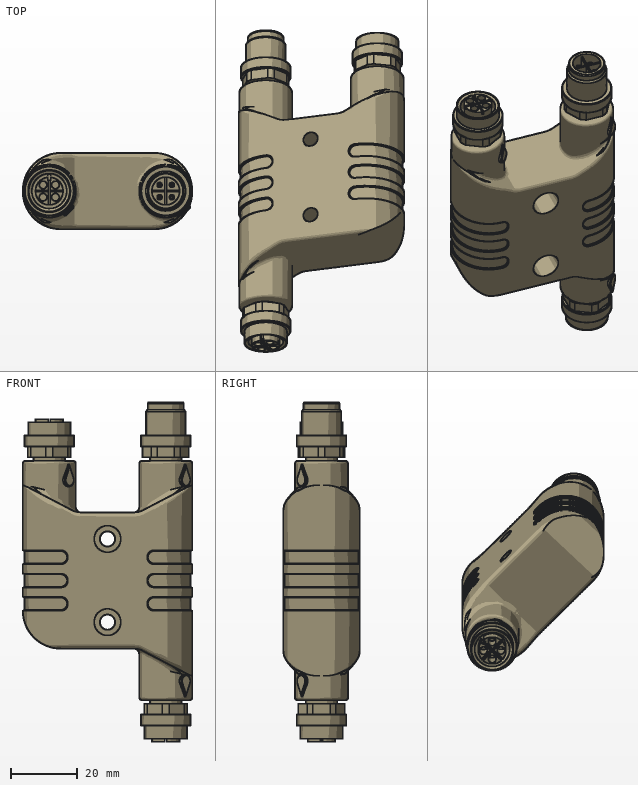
import cadquery as cq
import math

WIDTH = 51.0
THICKNESS = 23.0
HEIGHT = 41.0
END_R = THICKNESS / 2
FLAT_HALF = WIDTH / 2 - END_R
MID_Z = HEIGHT / 2

SHOULDER_ANGLE = 27.5
SHOULDER_START = 8.2
SHOULDER_BEND_R = 5.0
EDGE_R = 1.5
EDGE_R_TIP = 0.15

TUBE_D = 16.0
TUBE_X = WIDTH / 2 - TUBE_D / 2
TUBE_REACH = 15.5
TUBE_EDGE_R = 0.9
TUBE_BASE_R = 1.5
TUBE_BASE_INSET = 0.8
TUBE_BASE_CAP_ANGLE = 13.5

HOLE_D = 4.5
COUNTERBORE_D = 8.0
COUNTERBORE_DEPTH = THICKNESS / 2
HOLE_SPACING = 25.0

GROOVE_COUNT = 3
GROOVE_PITCH = 7.0
GROOVE_WIDTH = 4.2
GROOVE_DEPTH = 0.5
GROOVE_BEVEL = 0.25

DROP_R = 1.95
DROP_TIP = 4.7
DROP_TIP_INSET = 1.1
DROP_RAISE = 0.7
DROP_EDGE = 0.25
DROP_DEPTH = 2.0

NECK_D = 9.6
NUT_FLATS = 13.0
NUT_CORNER_D = 14.0
RING_D = 15.0
RING_EDGE = 0.2
SOCKET_NUT_TURN = 30
PLUG_NUT_TURN = 0
NUT_START = 1.0
NUT_END = 4.2
RING_END = 7.7

SOCKET_SLEEVE_D = 12.8
SOCKET_SLEEVE_END = 11.6
SOCKET_RIM_D = 12.3
SOCKET_RIM_DEPTH = 0.4
SOCKET_BORE_D = 10.5
SOCKET_FLOOR_R = 0.5
SOCKET_DEPTH = 3.8
INSERT_D = 8.3
INSERT_END = 12.5
CONTACT_HOLE_D = 2.3
CONTACT_HOLE_DEPTH = 6.0
KEY_WIDTH = 1.0
KEY_DEPTH = 0.9

PLUG_SLEEVE_D = 12.0
PLUG_SLEEVE_END = 14.8
PLUG_LIP_D = 10.95
PLUG_LIP_START = 15.4
PLUG_LIP_EDGE = 0.5
PLUG_RIM_D = 10.4
PLUG_END = 17.6
PLUG_BORE_D = 8.35
PLUG_BORE_DEPTH = 8.0
PIN_D = 1.5
PIN_LENGTH = 6.0
PIN_TIP = 0.4

CONTACT_PITCH = 3.7
CROSS_WIDTH = 0.5
CROSS_INSET = 1.0


SLOPE = math.radians(SHOULDER_ANGLE)
TOLERANCE = 0.01


def plan_prism(inset):
    """Tall prism of the rounded plan shape, shrunk by inset all round."""
    return (
        cq.Workplane("XY", origin=(0, 0, -HEIGHT))
        .slot2D(WIDTH - 2 * inset, THICKNESS - 2 * inset)
        .extrude(3 * HEIGHT)
    )


def cylinder(diameter, start, end):
    """Upright cylinder on the Z axis between two heights."""
    return cq.Workplane("XY", origin=(0, 0, start)).circle(diameter / 2).extrude(end - start)


def shoulder_rise(x):
    """Height of the straight shoulder slope above the flat edge, at distance x from the middle."""
    bend_x = SHOULDER_START + SHOULDER_BEND_R * math.sin(SLOPE)
    return SHOULDER_BEND_R * (1 - math.cos(SLOPE)) + (x - bend_x) * math.tan(SLOPE)


def outline_block(half_width, depth):
    """Front outline with sloped shoulders, square at the lower left, extruded along Y."""
    bend_x = SHOULDER_START + SHOULDER_BEND_R * math.sin(SLOPE)
    bend_rise = SHOULDER_BEND_R * (1 - math.cos(SLOPE))
    mid_x = SHOULDER_START + SHOULDER_BEND_R * math.sin(SLOPE / 2)
    mid_rise = SHOULDER_BEND_R * (1 - math.cos(SLOPE / 2))
    side_rise = shoulder_rise(half_width)
    return (
        cq.Workplane("XZ")
        .moveTo(-half_width, 0)
        .lineTo(SHOULDER_START, 0)
        .threePointArc((mid_x, -mid_rise), (bend_x, -bend_rise))
        .lineTo(half_width, -side_rise)
        .lineTo(half_width, HEIGHT + side_rise)
        .lineTo(bend_x, HEIGHT + bend_rise)
        .threePointArc((mid_x, HEIGHT + mid_rise), (SHOULDER_START, HEIGHT))
        .lineTo(-SHOULDER_START, HEIGHT)
        .threePointArc((-mid_x, HEIGHT + mid_rise), (-bend_x, HEIGHT + bend_rise))
        .lineTo(-half_width, HEIGHT + side_rise)
        .close()
        .extrude(depth / 2, both=True)
    )


def is_straight_rim(edge):
    """True for the straight top and bottom edges along the front and back faces."""
    middle = edge.Center()
    on_face = abs(abs(middle.y) - THICKNESS / 2) < TOLERANCE
    level = min(abs(middle.z), abs(middle.z - HEIGHT)) < TOLERANCE
    return on_face and level


def round_rims(body):
    """Round the top and bottom edges, fading the radius out towards each shoulder tip."""
    solid = body.solids().val()
    rounding = cq.occ_impl.shapes.BRepFilletAPI_MakeFillet(solid.wrapped)
    for edge in solid.Edges():
        if is_straight_rim(edge):
            rounding.Add(EDGE_R, edge.wrapped)

    for contour in range(1, rounding.NbContours() + 1):
        count = rounding.NbEdges(contour)
        for index in range(1, count + 1):
            edge = cq.Edge(rounding.Edge(contour, index))
            if edge.geomType() != "ELLIPSE":
                continue
            following = cq.Edge(rounding.Edge(contour, index % count + 1))
            tip = max(edge.startPoint(), edge.endPoint(), key=lambda point: abs(point.x))
            gaps = [(tip - point).Length for point in (following.startPoint(), following.endPoint())]
            if min(gaps) < TOLERANCE:
                rounding.SetRadius(EDGE_R, EDGE_R_TIP, contour, index)
            else:
                rounding.SetRadius(EDGE_R_TIP, EDGE_R, contour, index)
    return cq.Workplane(obj=cq.Shape.cast(rounding.Shape()))


def lower_corner_cutter():
    """Waste outside the large rounded lower left corner."""
    middle = END_R * (1 - math.sqrt(0.5))
    left = -WIDTH / 2
    return (
        cq.Workplane("XZ")
        .moveTo(-FLAT_HALF, 0)
        .threePointArc((left + middle, middle), (left, END_R))
        .lineTo(left - END_R, END_R)
        .lineTo(left - END_R, -END_R)
        .lineTo(-FLAT_HALF, -END_R)
        .close()
        .extrude(THICKNESS, both=True)
    )


def housing():
    """Rounded block with sloped shoulders and one large rounded corner."""
    block = outline_block(WIDTH / 2, THICKNESS).intersect(plan_prism(0))
    return round_rims(block).cut(lower_corner_cutter())


def tubes():
    """The full-height right tube and the upper left tube."""
    right = cylinder(TUBE_D, -TUBE_REACH, HEIGHT + TUBE_REACH).edges().fillet(TUBE_EDGE_R)
    left = cylinder(TUBE_D, MID_Z, HEIGHT + TUBE_REACH).faces(">Z").edges().fillet(TUBE_EDGE_R)
    return right.translate((TUBE_X, 0, 0)).union(left.translate((-TUBE_X, 0, 0)))


def base_fillet_cap():
    """Notched block whose sloped ends make the tube base rounding die out at the shoulder tips."""
    half = WIDTH / 2
    tip_rise = shoulder_rise(half)
    middle_rise = tip_rise - half * math.tan(math.radians(TUBE_BASE_CAP_ANGLE))
    corners = [
        (-half, -tip_rise),
        (0, -middle_rise),
        (half, -tip_rise),
        (half, HEIGHT + tip_rise),
        (0, HEIGHT + middle_rise),
        (-half, HEIGHT + tip_rise),
    ]
    return cq.Workplane("XZ").polyline(corners).close().extrude(THICKNESS, both=True)


def tube_base_fillets(tube_pair):
    """The tubes with the concave rounding that joins them to the shoulders, without the housing."""
    block = outline_block(WIDTH, 2 * THICKNESS)
    joined = block.union(tube_pair)

    def is_tube_base(edge):
        points = [edge.positionAt(part) for part in (0, 0.25, 0.5, 0.75, 1)]
        on_tube = all(
            abs(math.hypot(abs(point.x) - TUBE_X, point.y) - TUBE_D / 2) < TOLERANCE for point in points
        )
        reach = TUBE_REACH - 2 * TUBE_EDGE_R
        clear_of_ends = all(-reach < point.z < HEIGHT + reach for point in points)
        return on_tube and clear_of_ends and edge.BoundingBox().ylen > TOLERANCE

    bases = [edge for edge in joined.edges().vals() if is_tube_base(edge)]
    flared = joined.newObject(bases).fillet(TUBE_BASE_R).cut(block)
    return flared.intersect(plan_prism(TUBE_BASE_INSET)).intersect(base_fillet_cap())


def mounting_holes():
    """Two counterbored through holes along Y, counterbores at the front."""
    centres = [(0, MID_Z - HOLE_SPACING / 2), (0, MID_Z + HOLE_SPACING / 2)]
    front = cq.Workplane("XZ", origin=(0, -THICKNESS / 2, 0)).pushPoints(centres)
    through = front.circle(HOLE_D / 2).extrude(-THICKNESS)
    counterbore = front.circle(COUNTERBORE_D / 2).extrude(-COUNTERBORE_DEPTH)
    return through.union(counterbore)


def grip_grooves():
    """Shallow round-ended grooves wrapped around both sides of the housing."""
    centres = []
    for row in range(GROOVE_COUNT):
        z = MID_Z + (row - (GROOVE_COUNT - 1) / 2) * GROOVE_PITCH
        centres += [(-WIDTH / 2, z), (WIDTH / 2, z)]
    floor_r = END_R - GROOVE_DEPTH
    length = 2 * (END_R + GROOVE_WIDTH / 2)
    slots = cq.Workplane("XZ").pushPoints(centres).slot2D(length, GROOVE_WIDTH)
    cutters = slots.extrude(THICKNESS, both=True).cut(plan_prism(GROOVE_DEPTH))

    def is_floor_edge(edge):
        points = [edge.positionAt(part) for part in (0, 0.25, 0.5, 0.75, 1)]
        distances = [math.hypot(max(abs(point.x) - FLAT_HALF, 0), point.y) for point in points]
        on_floor = all(abs(distance - floor_r) < TOLERANCE for distance in distances)
        is_seam = edge.geomType() == "LINE" and edge.BoundingBox().xlen < TOLERANCE
        return on_floor and not is_seam

    floor_edges = [edge for edge in cutters.edges().vals() if is_floor_edge(edge)]
    return cutters.newObject(floor_edges).chamfer(GROOVE_BEVEL)


def drop_marker(tube_x, tube_end, direction):
    """Raised drop on a tube, halfway between +X and -Y; direction is +1 for tip up, -1 for down."""
    touch_angle = math.acos(DROP_R / DROP_TIP)
    touch_x = DROP_R * math.sin(touch_angle)
    touch_y = DROP_R * math.cos(touch_angle) * direction
    centre_z = tube_end - direction * (DROP_TIP_INSET + DROP_TIP)
    plane = cq.Plane(origin=(tube_x, 0, centre_z), xDir=(1, 1, 0), normal=(1, -1, 0))
    top = TUBE_D / 2 + DROP_RAISE
    return (
        cq.Workplane(plane)
        .workplane(offset=top - DROP_DEPTH)
        .moveTo(0, DROP_TIP * direction)
        .lineTo(touch_x, touch_y)
        .threePointArc((0, -DROP_R * direction), (-touch_x, touch_y))
        .close()
        .extrude(DROP_DEPTH)
        .faces(cq.selectors.DirectionMinMaxSelector(plane.zDir, True))
        .edges()
        .chamfer(DROP_EDGE)
    )


def coupling(nut_turn):
    """Neck, chamfered hexagon nut and ring shared by all connectors."""
    neck = cylinder(NECK_D, -TUBE_EDGE_R, NUT_START)
    hexagon = (
        cq.Workplane("XY", origin=(0, 0, NUT_START))
        .polygon(6, NUT_FLATS / math.cos(math.pi / 6))
        .extrude(NUT_END - NUT_START)
        .rotate((0, 0, 0), (0, 0, 1), nut_turn)
    )
    nut = hexagon.intersect(cylinder(NUT_CORNER_D, NUT_START, NUT_END))
    ring = cylinder(RING_D, NUT_END, RING_END).edges().chamfer(RING_EDGE)
    return neck.union(nut).union(ring)


def contact_points(plane):
    """Corners of the square contact pattern on the given plane."""
    return plane.rect(CONTACT_PITCH, CONTACT_PITCH, forConstruction=True).vertices()


def shield_cross(length, start, end):
    """Two crossed walls along X and Y."""
    plane = cq.Workplane("XY", origin=(0, 0, start))
    along_x = plane.rect(length, CROSS_WIDTH).extrude(end - start)
    along_y = plane.rect(CROSS_WIDTH, length).extrude(end - start)
    return along_x.union(along_y)


def socket():
    """Female connector: sleeve around an insert with four contact holes."""
    sleeve = cylinder(SOCKET_SLEEVE_D, RING_END, SOCKET_SLEEVE_END)
    floor = SOCKET_SLEEVE_END - SOCKET_DEPTH
    bore = cylinder(SOCKET_BORE_D, floor, SOCKET_SLEEVE_END).faces("<Z").edges().fillet(SOCKET_FLOOR_R)
    mouth = cq.Workplane(
        obj=cq.Solid.makeCone(
            SOCKET_BORE_D / 2,
            SOCKET_RIM_D / 2,
            SOCKET_RIM_DEPTH,
            cq.Vector(0, 0, SOCKET_SLEEVE_END - SOCKET_RIM_DEPTH),
        )
    )
    insert = cylinder(INSERT_D, NUT_END, INSERT_END)
    top = cq.Workplane("XY", origin=(0, 0, INSERT_END))
    holes = contact_points(top).circle(CONTACT_HOLE_D / 2).extrude(-CONTACT_HOLE_DEPTH)
    keyway = (
        top.center(0, INSERT_D / 2)
        .rect(KEY_WIDTH, 2 * KEY_DEPTH)
        .extrude(floor - INSERT_END)
    )
    cross = shield_cross(INSERT_D, INSERT_END - CROSS_INSET, INSERT_END)
    body = coupling(SOCKET_NUT_TURN).union(sleeve).cut(bore).cut(mouth).union(insert)
    return body.cut(holes).cut(keyway).cut(cross)


def plug():
    """Male connector: stepped sleeve around four pins and a shield cross."""
    radii_and_heights = [
        (PLUG_SLEEVE_D / 2, RING_END),
        (PLUG_SLEEVE_D / 2, PLUG_SLEEVE_END),
        (PLUG_LIP_D / 2, PLUG_LIP_START),
        (PLUG_LIP_D / 2, PLUG_END - PLUG_LIP_EDGE),
        (PLUG_RIM_D / 2, PLUG_END),
        (0, PLUG_END),
        (0, RING_END),
    ]
    sleeve = cq.Workplane("XZ").polyline(radii_and_heights).close().revolve(360, (0, 0), (0, 1))
    floor = PLUG_END - PLUG_BORE_DEPTH
    bore = cylinder(PLUG_BORE_D, floor, PLUG_END)
    pins = contact_points(cq.Workplane("XY", origin=(0, 0, floor))).circle(PIN_D / 2).extrude(PIN_LENGTH)
    pins = pins.faces(">Z").edges().chamfer(PIN_TIP)
    cross = shield_cross(PLUG_BORE_D, floor, PLUG_END - CROSS_INSET)
    return coupling(PLUG_NUT_TURN).union(sleeve).cut(bore).union(pins).union(cross)


UPPER_END = HEIGHT + TUBE_REACH
LOWER_END = -TUBE_REACH

tube_pair = tubes()
part = housing().union(tube_pair).union(tube_base_fillets(tube_pair))
part = part.cut(mounting_holes()).cut(grip_grooves())

for marker in (
    drop_marker(-TUBE_X, UPPER_END, 1),
    drop_marker(TUBE_X, UPPER_END, 1),
    drop_marker(TUBE_X, LOWER_END, -1),
):
    part = part.union(marker)

part = part.union(socket().translate((-TUBE_X, 0, UPPER_END)))
part = part.union(plug().translate((TUBE_X, 0, UPPER_END)))
part = part.union(socket().mirror("XY").translate((TUBE_X, 0, LOWER_END)))

result = cq.Workplane(obj=part.solids().val())